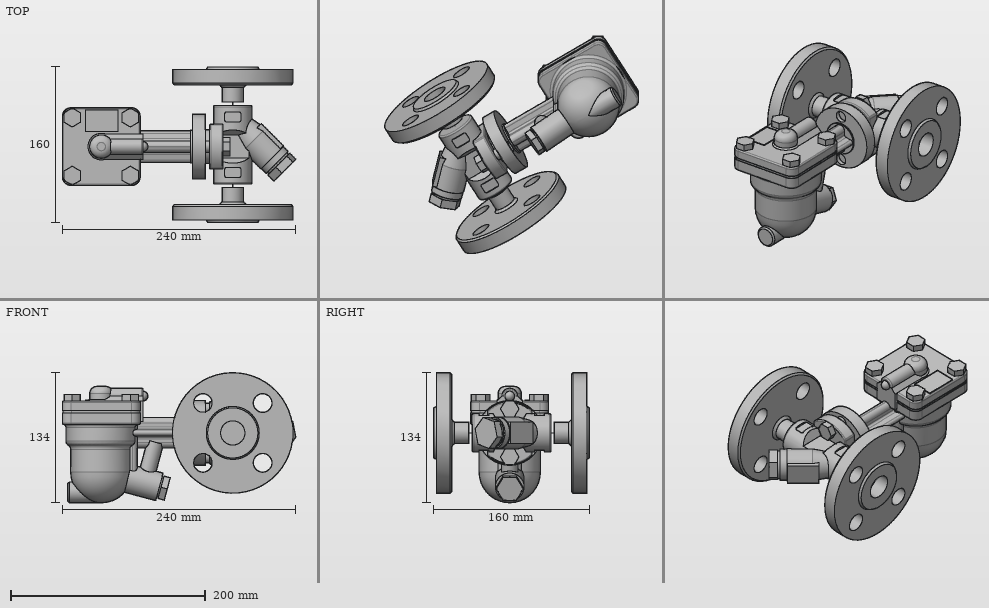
import cadquery as cq
import math


FLANGE_DIA = 124.0
FLANGE_THICK = 16.0
FLANGE_CHAMFER = 2.0
RAISED_FACE_DIA = 54.5
RAISED_FACE_TIP_DIA = 51.5
RAISED_FACE_HEIGHT = 2.6
FACE_TO_FACE = 160.0
BORE_DIA = 25.0
BORE_DEPTH = 16.3
HUB_DIA = 27.4
HUB_LENGTH = 2.6
STUB_DIA = 22.0
STUB_LENGTH = 15.0
BOLT_HOLE_DIA = 19.0
BOLT_CIRCLE_DIA = 87.0
BOLT_HOLE_COUNT = 4
BOLT_START_ANGLE = 45.0
CORE_DIA = 0.2

VALVE_DIA = 39.5
VALVE_LENGTH = 81.0
VALVE_END_ROUND = 1.7
WRENCH_FLAT_HEIGHT = 17.8
WRENCH_FLAT_LENGTH = 10.3
WRENCH_FLAT_WIDTH = 16.5
WRENCH_FLAT_ROUND = 2.0
WRENCH_FLAT_Y = 28.5
WAIST_HEIGHT = 11.0
WAIST_HALF_WIDTH = 11.8
WAIST_RAMP = 5.3

BRANCH_ANGLE = 45.0
BRANCH_OFFSET = 13.7
BRANCH_DIA = 33.0
BRANCH_ROOT_DIA = 25.0
BRANCH_ROOT_START = -9.5
BRANCH_ROOT_END = 12.0
BRANCH_LENGTH = 45.0
BRANCH_COLLAR_START = 38.2
BRANCH_COLLAR_DIA = 32.2
BRANCH_NECK_DIA = 28.8
BRANCH_NECK_LENGTH = 2.5
BRANCH_HEX_DIA = 33.0
BRANCH_HEX_LENGTH = 9.0
BRANCH_HEX_TURN = -15.0
BRANCH_PAD_START = 5.3
BRANCH_PAD_END = 37.5
BRANCH_PAD_INNER = 10.5
BRANCH_PAD_OUTER = 16.8
BRANCH_PAD_HEIGHT = 22.0

TRAP_Y = -2.0
DISC_DIA = 66.7
DISC_X = -41.5
DISC_THICK = 13.5
JOINT_NECK_DIA = 35.0
JOINT_PLATE_X = -23.8
JOINT_PLATE_THICK = 14.0
JOINT_PLATE_DIA = 64.8
JOINT_PLATE_WIDTH = 46.0
JOINT_PLATE_ROUND = 1.2
JOINT_PLATE_CORNER = 3.0
JOINT_BOLT_DIA = 12.0
JOINT_BOLT_Z = 24.7
JOINT_HEX_DIA = 19.0
JOINT_HEX_LENGTH = 7.0
DISC_HOLE_DEPTH = 4.8

ARM_WEB_WIDTH = 12.0
ARM_TOP_Z = 16.0
ARM_BOTTOM_Z = -15.5
ARM_ROUND = 5.8
RIB_WIDTH = 33.0
RIB_ROOT_HALF = 4.0
RIB_TIP_RADIUS = 3.0
RIB_FILLET = 2.2
ARM_FOOT_LENGTH = 1.7
ARM_FOOT_DIA = 34.0

TRAP_X = -135.0
COVER_SIZE = 80.2
COVER_CORNER = 9.0
COVER_TOP_Z = 33.0
COVER_BOTTOM_Z = 8.6
COVER_EDGE_ROUND = 1.5
GASKET_TOP_Z = 23.0
GASKET_BOTTOM_Z = 20.6
GASKET_INSET = 0.5
OVERALL_HEIGHT = 134.0
BOWL_BOTTOM_Z = FLANGE_DIA / 2 - OVERALL_HEIGHT
BOWL_RADIUS = 31.7
RIM_RADIUS = 36.5
RIM_BOTTOM_Z = -8.5
RIM_STEP_Z = -16.8
RIM_FILLET = 3.0
COVER_HEX_DIA = 19.5
COVER_HEX_HEIGHT = 6.7
COVER_BOLT_PITCH = 59.8
NAMEPLATE_X = -134.6
NAMEPLATE_Y = 24.7
NAMEPLATE_LENGTH = 33.4
NAMEPLATE_WIDTH = 22.0
NAMEPLATE_HEIGHT = 0.7

DOME_DIA = 24.0
DOME_TOP_Z = 48.0
DOME_ROUND = 7.7
DOME_FOOT_DIA = 27.4
DOME_FOOT_HEIGHT = 1.7
TUBE_DIA = 16.0
TUBE_Z = 38.0
TUBE_BASE_WIDTH = 26.2
TUBE_END_X = -92.2
TUBE_END_ROUND = 1.5
BALL_DIA = 10.0
LUG_BOTTOM_Z = 12.0
LUG_THICK = 4.8

BACK_RIB_WIDTH = 24.0
BACK_RIB_X = -98.2
BACK_RIB_ROUND = 4.8
BACK_RIB_BOTTOM_Z = -45.5

DRAIN_DIA = 21.5
DRAIN_X = -169.7
DRAIN_CHAMFER = 1.7

PLUG_ANGLE = 15.0
PLUG_END_X = -75.4
PLUG_END_Z = -55.5
PLUG_DIA = 29.5
PLUG_LENGTH = 40.8
PLUG_NECK_LENGTH = 1.7
PLUG_NECK_DIA = 21.5
PLUG_HEX_FLATS = 24.0
PLUG_HEX_LENGTH = 6.7
PIPE_DIA = 17.0
PIPE_TOP_X = -79.5
PIPE_TOP_Z = -9.5
PIPE_LENGTH = 38.5

SQRT3 = math.sqrt(3)


def rod(start, direction, diameter, length):
    """Round bar from a start point along a direction."""
    return cq.Workplane(cq.Solid.makeCylinder(diameter / 2, length, cq.Vector(*start), cq.Vector(*direction)))


def hex_bar_x(corner_dia, length):
    """Hexagonal bar from the YZ plane along +X with two corners on the Y axis."""
    return cq.Workplane("YZ").polygon(6, corner_dia).extrude(length)


def box(x_range, y_range, z_range):
    """Block between the given limits."""
    size = [limits[1] - limits[0] for limits in (x_range, y_range, z_range)]
    corner = (x_range[0], y_range[0], z_range[0])
    return cq.Workplane("XY").box(*size, centered=False).translate(corner)


def pipe_flange():
    """Flange on the -Y side, turned about the pipe axis, with a blind bore and four bolt holes."""
    face_y = -FACE_TO_FACE / 2
    front_y = face_y + RAISED_FACE_HEIGHT
    back_y = front_y + FLANGE_THICK
    hub_y = back_y + HUB_LENGTH
    stub_y = hub_y + STUB_LENGTH
    radius = FLANGE_DIA / 2
    outline = [
        (0, face_y),
        (RAISED_FACE_TIP_DIA / 2, face_y),
        (RAISED_FACE_DIA / 2, front_y),
        (radius, front_y),
        (radius, back_y - FLANGE_CHAMFER),
        (radius - FLANGE_CHAMFER, back_y),
        (HUB_DIA / 2, back_y),
        (STUB_DIA / 2, hub_y),
        (STUB_DIA / 2, stub_y),
        (0, stub_y),
    ]
    flange = cq.Workplane("XY").polyline(outline).close().revolve(360, (0, 0, 0), (0, 1, 0))
    flange = flange.cut(rod((0, face_y, 0), (0, 1, 0), BORE_DIA, BORE_DEPTH))
    for index in range(BOLT_HOLE_COUNT):
        angle = math.radians(BOLT_START_ANGLE + index * 360 / BOLT_HOLE_COUNT)
        x = BOLT_CIRCLE_DIA / 2 * math.cos(angle)
        z = BOLT_CIRCLE_DIA / 2 * math.sin(angle)
        flange = flange.cut(rod((x, face_y, z), (0, 1, 0), BOLT_HOLE_DIA, FACE_TO_FACE))
    return flange


def core_rod():
    """Slender rod on the pipe axis from one flange stub to the other."""
    half = FACE_TO_FACE / 2 - RAISED_FACE_HEIGHT - FLANGE_THICK
    return rod((0, -half, 0), (0, 1, 0), CORE_DIA, 2 * half)


def flange_pair():
    """Both flanges, mirrored about the XZ plane and joined by the core rod."""
    near = pipe_flange()
    return near.union(near.mirror("XZ")).union(core_rod())


def valve_barrel():
    """Barrel along the pipe axis with wrench flats and a flat waist behind the joint."""
    half = VALVE_LENGTH / 2
    radius = VALVE_DIA / 2
    barrel = rod((0, -half, 0), (0, 1, 0), VALVE_DIA, VALVE_LENGTH).edges("%CIRCLE").fillet(VALVE_END_ROUND)
    for y in (-WRENCH_FLAT_Y, WRENCH_FLAT_Y):
        flat = (
            cq.Workplane("XY", origin=(0, y, WRENCH_FLAT_HEIGHT))
            .rect(WRENCH_FLAT_WIDTH, WRENCH_FLAT_LENGTH)
            .extrude(radius)
            .edges("|Z")
            .fillet(WRENCH_FLAT_ROUND)
        )
        barrel = barrel.cut(flat).cut(flat.mirror("XY"))
    waist = [
        (TRAP_Y - WAIST_HALF_WIDTH - WAIST_RAMP, radius),
        (TRAP_Y - WAIST_HALF_WIDTH, WAIST_HEIGHT),
        (TRAP_Y + WAIST_HALF_WIDTH, WAIST_HEIGHT),
        (TRAP_Y + WAIST_HALF_WIDTH + WAIST_RAMP, radius),
    ]
    groove = cq.Workplane("YZ").polyline(waist).close().extrude(radius, both=True)
    return barrel.cut(groove).cut(groove.mirror("XY"))


def valve_branch():
    """Strainer branch with its side pad and hexagonal cap, built along X and turned into place."""
    branch = rod((BRANCH_ROOT_END, 0, 0), (1, 0, 0), BRANCH_DIA, BRANCH_COLLAR_START - BRANCH_ROOT_END)
    collar_length = BRANCH_LENGTH - BRANCH_COLLAR_START
    collar = rod((BRANCH_COLLAR_START, 0, 0), (1, 0, 0), BRANCH_COLLAR_DIA, collar_length)
    root = cq.Solid.makeCone(
        BRANCH_ROOT_DIA / 2,
        BRANCH_DIA / 2,
        BRANCH_ROOT_END - BRANCH_ROOT_START,
        cq.Vector(BRANCH_ROOT_START, 0, 0),
        cq.Vector(1, 0, 0),
    )
    pad = box(
        (BRANCH_PAD_START, BRANCH_PAD_END),
        (BRANCH_PAD_INNER, BRANCH_PAD_OUTER),
        (-BRANCH_PAD_HEIGHT / 2, BRANCH_PAD_HEIGHT / 2),
    )
    neck = rod((BRANCH_LENGTH, 0, 0), (1, 0, 0), BRANCH_NECK_DIA, BRANCH_NECK_LENGTH)
    cap = (
        hex_bar_x(BRANCH_HEX_DIA, BRANCH_HEX_LENGTH)
        .rotate((0, 0, 0), (1, 0, 0), BRANCH_HEX_TURN)
        .translate((BRANCH_LENGTH + BRANCH_NECK_LENGTH, 0, 0))
    )
    branch = branch.union(cq.Workplane(root)).union(collar).union(pad).union(neck).union(cap)
    return branch.rotate((0, 0, 0), (0, 0, 1), -BRANCH_ANGLE).translate((BRANCH_OFFSET, BRANCH_OFFSET, 0))


def joint():
    """Disc, neck and clamping plate with its two bolts, between the arm and the valve."""
    disc_end = DISC_X + DISC_THICK
    plate_end = JOINT_PLATE_X + JOINT_PLATE_THICK
    disc = rod((DISC_X, TRAP_Y, 0), (1, 0, 0), DISC_DIA, DISC_THICK)
    neck = rod((disc_end, TRAP_Y, 0), (1, 0, 0), JOINT_NECK_DIA, plate_end - disc_end)
    plate = rod((JOINT_PLATE_X, TRAP_Y, 0), (1, 0, 0), JOINT_PLATE_DIA, JOINT_PLATE_THICK)
    half_width = JOINT_PLATE_WIDTH / 2
    plate = plate.intersect(
        box(
            (JOINT_PLATE_X, plate_end),
            (TRAP_Y - half_width, TRAP_Y + half_width),
            (-JOINT_PLATE_DIA, JOINT_PLATE_DIA),
        )
    )
    plate = plate.edges("|X").fillet(JOINT_PLATE_CORNER).faces("<X or >X").edges().fillet(JOINT_PLATE_ROUND)
    body = disc.union(neck).union(plate)
    for z in (-JOINT_BOLT_Z, JOINT_BOLT_Z):
        shank = rod((disc_end, TRAP_Y, z), (1, 0, 0), JOINT_BOLT_DIA, plate_end - disc_end)
        head = hex_bar_x(JOINT_HEX_DIA, JOINT_HEX_LENGTH).translate((plate_end, TRAP_Y, z))
        hole = rod((DISC_X, TRAP_Y, z), (1, 0, 0), JOINT_BOLT_DIA, DISC_HOLE_DEPTH)
        body = body.union(shank).union(head).cut(hole)
    return body


def arm():
    """Upright web with rounded edges and a rounded rib on each side, from the trap to the disc."""
    length = DISC_X - TRAP_X
    web = box(
        (TRAP_X, DISC_X),
        (TRAP_Y - ARM_WEB_WIDTH / 2, TRAP_Y + ARM_WEB_WIDTH / 2),
        (ARM_BOTTOM_Z, ARM_TOP_Z),
    )
    web = web.edges("|X").fillet(ARM_ROUND)
    tip_centre = RIB_WIDTH / 2 - RIB_TIP_RADIUS
    root_y = ARM_WEB_WIDTH / 2
    root_z = RIB_ROOT_HALF + RIB_FILLET
    fillet_end_y = root_y + RIB_FILLET
    ribs = (
        cq.Workplane("YZ", origin=(TRAP_X, TRAP_Y, 0))
        .moveTo(-root_y, root_z)
        .lineTo(root_y, root_z)
        .radiusArc((fillet_end_y, RIB_ROOT_HALF), -RIB_FILLET)
        .lineTo(tip_centre, RIB_TIP_RADIUS)
        .threePointArc((RIB_WIDTH / 2, 0), (tip_centre, -RIB_TIP_RADIUS))
        .lineTo(fillet_end_y, -RIB_ROOT_HALF)
        .radiusArc((root_y, -root_z), -RIB_FILLET)
        .lineTo(-root_y, -root_z)
        .radiusArc((-fillet_end_y, -RIB_ROOT_HALF), -RIB_FILLET)
        .lineTo(-tip_centre, -RIB_TIP_RADIUS)
        .threePointArc((-RIB_WIDTH / 2, 0), (-tip_centre, RIB_TIP_RADIUS))
        .lineTo(-fillet_end_y, RIB_ROOT_HALF)
        .radiusArc((-root_y, root_z), -RIB_FILLET)
        .close()
        .extrude(length)
    )
    foot = rod((DISC_X - ARM_FOOT_LENGTH, TRAP_Y, 0), (1, 0, 0), ARM_FOOT_DIA, ARM_FOOT_LENGTH)
    return web.union(ribs).union(foot)


def bowl():
    """Round-bottomed bowl with a wider rim under the cover, joined by an S-shaped step."""
    step_middle = ((RIM_RADIUS + BOWL_RADIUS) / 2, (RIM_BOTTOM_Z + RIM_STEP_Z) / 2)
    ball_z = BOWL_BOTTOM_Z + BOWL_RADIUS
    return (
        cq.Workplane("XZ", origin=(TRAP_X, TRAP_Y, 0))
        .moveTo(0, COVER_BOTTOM_Z)
        .lineTo(RIM_RADIUS + RIM_FILLET, COVER_BOTTOM_Z)
        .radiusArc((RIM_RADIUS, COVER_BOTTOM_Z - RIM_FILLET), -RIM_FILLET)
        .lineTo(RIM_RADIUS, RIM_BOTTOM_Z)
        .tangentArcPoint(step_middle, relative=False)
        .tangentArcPoint((BOWL_RADIUS, RIM_STEP_Z), relative=False)
        .lineTo(BOWL_RADIUS, ball_z)
        .radiusArc((0, BOWL_BOTTOM_Z), BOWL_RADIUS)
        .close()
        .revolve(360, (0, 0, 0), (0, 1, 0))
    )


def square_plate(size, bottom_z, top_z):
    """Square plate with rounded corners on the trap axis."""
    plate = cq.Workplane("XY", origin=(TRAP_X, TRAP_Y, bottom_z)).rect(size, size).extrude(top_z - bottom_z)
    return plate.edges("|Z").fillet(COVER_CORNER)


def cover():
    """Bowl flange, gasket and cover with its four hexagonal bolt heads."""
    lower = square_plate(COVER_SIZE, COVER_BOTTOM_Z, GASKET_BOTTOM_Z)
    lower = lower.faces("<Z").edges().fillet(COVER_EDGE_ROUND)
    gasket = square_plate(COVER_SIZE - 2 * GASKET_INSET, GASKET_BOTTOM_Z, GASKET_TOP_Z)
    upper = square_plate(COVER_SIZE, GASKET_TOP_Z, COVER_TOP_Z)
    upper = upper.faces(">Z").edges().fillet(COVER_EDGE_ROUND)
    bolts = (
        cq.Workplane("XY", origin=(TRAP_X, TRAP_Y, COVER_TOP_Z))
        .transformed(rotate=(0, 0, 90))
        .rect(COVER_BOLT_PITCH, COVER_BOLT_PITCH, forConstruction=True)
        .vertices()
        .polygon(6, COVER_HEX_DIA)
        .extrude(COVER_HEX_HEIGHT)
    )
    return lower.union(gasket).union(upper).union(bolts)


def nameplate():
    """Thin rectangular plate on the cover."""
    return (
        cq.Workplane("XY", origin=(NAMEPLATE_X, NAMEPLATE_Y, COVER_TOP_Z))
        .rect(NAMEPLATE_LENGTH, NAMEPLATE_WIDTH)
        .extrude(NAMEPLATE_HEIGHT)
    )


def dome():
    """Rounded dome on the cover with a small flat on top and a flared foot."""
    height = DOME_TOP_Z - COVER_TOP_Z
    base = (TRAP_X, TRAP_Y, COVER_TOP_Z)
    body = rod(base, (0, 0, 1), DOME_DIA, height).faces(">Z").edges().fillet(DOME_ROUND)
    foot = cq.Solid.makeCone(DOME_FOOT_DIA / 2, DOME_DIA / 2, DOME_FOOT_HEIGHT, cq.Vector(*base))
    return body.union(cq.Workplane(foot))


def bypass_tube():
    """Tube from the dome to the cover edge on a flared base, with a ball at its end and a lug below."""
    length = TUBE_END_X - TRAP_X
    tube = rod((TRAP_X, TRAP_Y, TUBE_Z), (1, 0, 0), TUBE_DIA, length)
    tube = tube.faces(">X").edges().fillet(TUBE_END_ROUND)
    base_outline = [
        (-TUBE_BASE_WIDTH / 2, COVER_TOP_Z),
        (-TUBE_DIA / 2, TUBE_Z),
        (TUBE_DIA / 2, TUBE_Z),
        (TUBE_BASE_WIDTH / 2, COVER_TOP_Z),
    ]
    base = cq.Workplane("YZ", origin=(TRAP_X, TRAP_Y, 0)).polyline(base_outline).close().extrude(length)
    ball = cq.Workplane("XY").sphere(BALL_DIA / 2).translate((TUBE_END_X, TRAP_Y, TUBE_Z))
    half_width = TUBE_BASE_WIDTH / 2
    lug = box(
        (TUBE_END_X - LUG_THICK, TUBE_END_X),
        (TRAP_Y - half_width, TRAP_Y + half_width),
        (LUG_BOTTOM_Z, COVER_TOP_Z),
    )
    return tube.union(base).union(ball).union(lug)


def back_rib():
    """Upright passage on the bowl wall under the arm."""
    half_width = BACK_RIB_WIDTH / 2
    rib = box(
        (TRAP_X, BACK_RIB_X),
        (TRAP_Y - half_width, TRAP_Y + half_width),
        (BACK_RIB_BOTTOM_Z, COVER_BOTTOM_Z),
    )
    return rib.edges("|Z").fillet(BACK_RIB_ROUND)


def drain_boss():
    """Horizontal round boss level with the bottom of the bowl."""
    start = (DRAIN_X, TRAP_Y, BOWL_BOTTOM_Z + DRAIN_DIA / 2)
    boss = rod(start, (1, 0, 0), DRAIN_DIA, TRAP_X - DRAIN_X)
    return boss.faces("<X").edges().chamfer(DRAIN_CHAMFER)


def plug_boss():
    """Inclined boss with a hexagonal plug, built along X with its end face at the origin."""
    boss = rod((-PLUG_LENGTH, 0, 0), (1, 0, 0), PLUG_DIA, PLUG_LENGTH)
    neck = rod((0, 0, 0), (1, 0, 0), PLUG_NECK_DIA, PLUG_NECK_LENGTH)
    plug = hex_bar_x(PLUG_HEX_FLATS * 2 / SQRT3, PLUG_HEX_LENGTH).translate((PLUG_NECK_LENGTH, 0, 0))
    boss = boss.union(neck).union(plug)
    return boss.rotate((0, 0, 0), (0, 1, 0), PLUG_ANGLE).translate((PLUG_END_X, TRAP_Y, PLUG_END_Z))


def feed_pipe():
    """Pipe from the arm down to the inclined boss, square to the boss."""
    tilt = math.radians(PLUG_ANGLE)
    return rod((PIPE_TOP_X, TRAP_Y, PIPE_TOP_Z), (-math.sin(tilt), 0, -math.cos(tilt)), PIPE_DIA, PIPE_LENGTH)


def trap_assembly():
    """Trap, arm, joint and valve as one solid with a clearance hole for the core rod."""
    body = bowl()
    features = (
        cover(),
        nameplate(),
        dome(),
        bypass_tube(),
        back_rib(),
        drain_boss(),
        plug_boss(),
        feed_pipe(),
        arm(),
        joint(),
        valve_barrel(),
        valve_branch(),
    )
    for feature in features:
        body = body.union(feature)
    return body.cut(core_rod())


flanges = flange_pair()
trap = trap_assembly()

result = cq.Compound.makeCompound([trap.val(), flanges.val()])